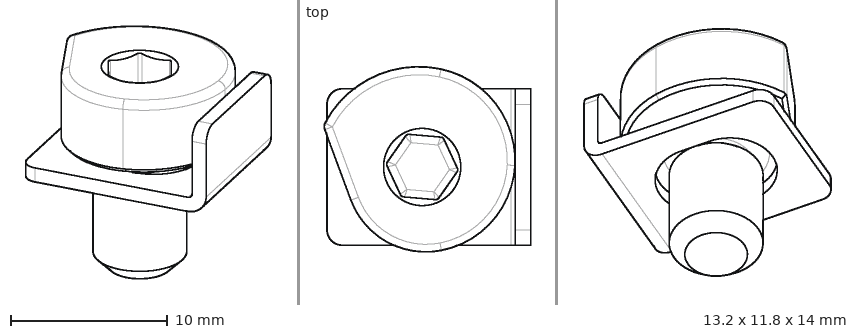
import cadquery as cq
import math

total_height = 14.0

sheet_thickness = 1.0
bracket_width = 10.0
plate_left = -6.08
wall_outer = 6.93
wall_top_drop = 1.0
corner_radius = 1.0
inner_bend_radius = 0.3
slot_radius = 3.0
slot_travel = 2.0
outer_bend_radius = inner_bend_radius + sheet_thickness

shank_radius = 3.0
shank_tip_chamfer = 1.0
neck_radius = 2.4
neck_gap = 1.0
head_height = 5.0
head_top_fillet = 0.5
head_bottom_chamfer = 0.3
nose_radius = 0.5

spiral_mean_radius = 5.91
spiral_rise = 0.33
spiral_start_angle = math.radians(-155.3)
spiral_end_angle = math.radians(157.5)
spiral_arcs = 4

socket_across_flats = 4.0
socket_depth = 4.0
socket_rotation = -5.0
socket_corner_radius = 0.25
socket_floor_fillet = 0.5
socket_mouth_radius = 2.46
socket_mouth_slope = math.radians(30)

head_bottom = sheet_thickness + neck_gap
head_top = head_bottom + head_height
shank_bottom = head_top - total_height
wall_top = head_top - wall_top_drop


def spiral_point(angle):
    radius = spiral_mean_radius + spiral_rise * angle
    return (radius * math.cos(angle), radius * math.sin(angle))


def make_bracket():
    """L-shaped sheet with rounded free corners and a slot along X around the screw neck."""
    wall_inner = wall_outer - sheet_thickness
    bracket = (
        cq.Workplane("XZ")
        .moveTo(plate_left, 0)
        .lineTo(wall_outer, 0)
        .lineTo(wall_outer, wall_top)
        .lineTo(wall_inner, wall_top)
        .lineTo(wall_inner, sheet_thickness)
        .lineTo(plate_left, sheet_thickness)
        .close()
        .extrude(bracket_width / 2, both=True)
    )
    bracket = bracket.faces("<X").edges("|Z").fillet(corner_radius)
    bracket = bracket.faces(">Z").edges("|X").fillet(corner_radius)
    inner_bend = cq.selectors.NearestToPointSelector((wall_inner, 0, sheet_thickness))
    bracket = bracket.edges(inner_bend).fillet(inner_bend_radius)
    outer_bend = cq.selectors.NearestToPointSelector((wall_outer, 0, 0))
    bracket = bracket.edges(outer_bend).fillet(outer_bend_radius)
    slot = cq.Workplane("XY").slot2D(slot_travel + 2 * slot_radius, 2 * slot_radius).extrude(sheet_thickness)
    return bracket.cut(slot)


def make_cam_head():
    """Cam bounded by a flat and a chain of tangent arcs that follows the spiral."""
    arc_angle = (spiral_end_angle - spiral_start_angle) / spiral_arcs
    nose = spiral_point(spiral_end_angle)
    outline = (
        cq.Workplane("XY", origin=(0, 0, head_bottom))
        .moveTo(*nose)
        .lineTo(*spiral_point(spiral_start_angle))
    )
    for i in range(1, spiral_arcs + 1):
        arc_end = spiral_point(spiral_start_angle + i * arc_angle)
        outline = outline.tangentArcPoint(arc_end, relative=False)
    head = outline.close().extrude(head_height)
    head = head.faces(">Z").edges().fillet(head_top_fillet)
    head = head.faces("<Z").edges().chamfer(head_bottom_chamfer)
    nose_edge = cq.selectors.NearestToPointSelector((*nose, head_bottom + head_height / 2))
    return head.edges(nose_edge).fillet(nose_radius)


def make_shaft():
    """Shank, neck and the flare that carries the neck into the head, as one turned profile."""
    shoulder_height = shank_radius - neck_radius
    flare_offset = neck_gap * (1 - math.sqrt(0.5))
    return (
        cq.Workplane("XZ")
        .moveTo(0, shank_bottom)
        .lineTo(shank_radius - shank_tip_chamfer, shank_bottom)
        .lineTo(shank_radius, shank_bottom + shank_tip_chamfer)
        .lineTo(shank_radius, 0)
        .lineTo(neck_radius, shoulder_height)
        .lineTo(neck_radius, sheet_thickness)
        .threePointArc(
            (neck_radius + flare_offset, head_bottom - flare_offset),
            (neck_radius + neck_gap, head_bottom),
        )
        .lineTo(0, head_bottom)
        .close()
        .revolve(360, (0, 0), (0, 1))
    )


def make_socket():
    """Hexagonal cavity with rounded corners and floor edge, and a shallow conical mouth."""
    across_corners = socket_across_flats / math.cos(math.pi / 6)
    hexagon = (
        cq.Workplane("XY", origin=(0, 0, head_top - socket_depth))
        .polygon(6, across_corners)
        .extrude(socket_depth)
        .edges("|Z")
        .fillet(socket_corner_radius)
        .faces("<Z")
        .edges()
        .fillet(socket_floor_fillet)
        .rotate((0, 0, 0), (0, 0, 1), socket_rotation)
    )
    mouth_depth = socket_mouth_radius * math.tan(socket_mouth_slope)
    mouth = cq.Workplane("XY").add(
        cq.Solid.makeCone(
            socket_mouth_radius, 0, mouth_depth,
            pnt=cq.Vector(0, 0, head_top), dir=cq.Vector(0, 0, -1),
        )
    )
    return hexagon.union(mouth)


bracket = make_bracket()
cam_screw = make_cam_head().union(make_shaft()).cut(make_socket())

result = cq.Compound.makeCompound([bracket.val(), cam_screw.val()])